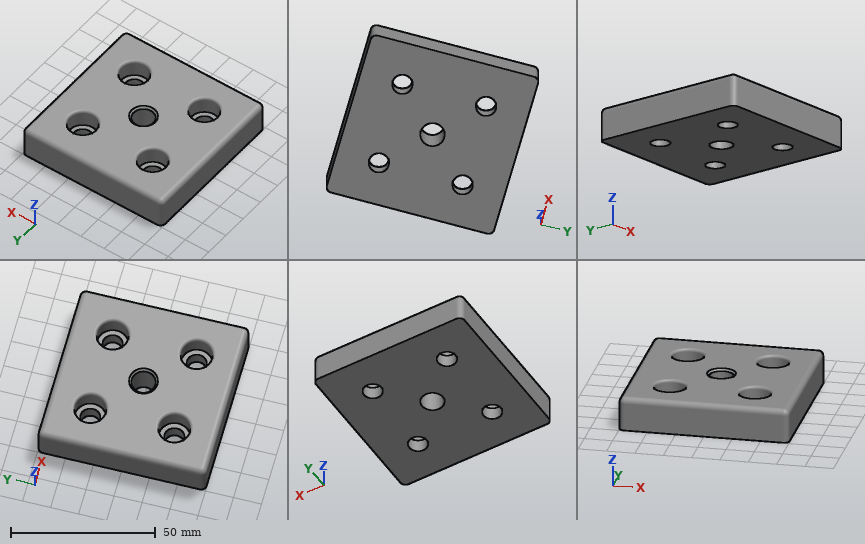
import cadquery as cq

side = 60.0
thickness = 12.0
edge_radius = 2.05

hole_spacing = side / 2
screw_hole_diameter = 7.0
counterbore_diameter = 11.0
counterbore_depth = 6.8
counterbore_rim_radius = 1.0

center_hole_diameter = 8.4
center_chamfer_diameter = 10.0
center_chamfer = (center_chamfer_diameter - center_hole_diameter) / 2


def rounded_plate():
    """Plate resting on Z = 0, with its vertical and top edges rounded."""
    plate = cq.Workplane("XY").box(side, side, thickness, centered=(True, True, False))
    return plate.edges("|Z or >Z").fillet(edge_radius)


def screw_hole_cutter():
    """Through hole and counterbore, flaring at the top with a convex rim."""
    hole_radius = screw_hole_diameter / 2
    bore_radius = counterbore_diameter / 2
    rim_radius = bore_radius + counterbore_rim_radius
    bore_floor = thickness - counterbore_depth
    rim_start = thickness - counterbore_rim_radius
    profile = (
        cq.Workplane("XZ")
        .lineTo(hole_radius, 0)
        .lineTo(hole_radius, bore_floor)
        .lineTo(bore_radius, bore_floor)
        .lineTo(bore_radius, rim_start)
        .radiusArc((rim_radius, thickness), counterbore_rim_radius)
        .lineTo(0, thickness)
        .close()
    )
    return profile.revolve(360, (0, 0, 0), (0, 1, 0))


def center_hole_cutter():
    """Through hole with a chamfered top rim."""
    hole = cq.Workplane("XY").circle(center_hole_diameter / 2).extrude(thickness)
    rim = (
        cq.Workplane("XY", origin=(0, 0, thickness))
        .circle(center_chamfer_diameter / 2)
        .workplane(offset=-center_chamfer)
        .circle(center_hole_diameter / 2)
        .loft()
    )
    return hole.union(rim)


result = rounded_plate().cut(center_hole_cutter())
for x in (-hole_spacing / 2, hole_spacing / 2):
    for y in (-hole_spacing / 2, hole_spacing / 2):
        result = result.cut(screw_hole_cutter().translate((x, y, 0)))